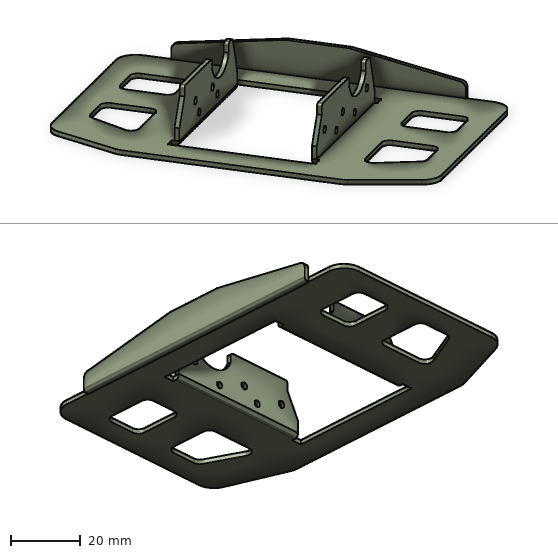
import cadquery as cq
import math

sheet = 1.5
bend_inner_radius = 0.3
outer_edge_radius = 1.3
bend_reach = bend_inner_radius + sheet

plate_width = 119.0
total_depth = 74.3
plate_depth = total_depth - sheet
plate_corner_radius = 6.0
front_edge_half = 34.4
front_slope = math.radians(20)

window_width = 45.0
window_front = 9.0
window_back = 63.8
relief_length = 3.4

opening_outer_x = 51.5
opening_inner_x = 34.5
opening_radius = 2.5
back_opening_front = 45.7
back_opening_back = 58.9
front_opening_back = 34.0
front_opening_outer_y = 21.9
front_opening_slope = math.radians(25)

back_wall_half = 45.0
back_wall_height = 12.0
back_wall_flat_half = 9.7
back_wall_end_height = 6.1
back_wall_corner_radius = 2.0

bracket_height = 17.0
bracket_gap = 40.4
bracket_front = window_front + relief_length
bracket_back = window_back - relief_length
bracket_end_height = 5.5
bracket_top_front = 16.6
bracket_step_height = 13.7
bracket_top_back = 56.5
bracket_corner_radius = 1.0
cradle_y = 46.4
cradle_half_width = 6.85
cradle_radius = 7.3
cradle_bottom = 9.0

shared_hole_diameter = 2.1
side_hole_diameter = 2.18
shared_holes = [(44.0, 4.5), (28.8, 4.5)]
left_holes = [(40.0, 8.1), (25.7, 9.1)]
right_holes = [(54.1, 8.3), (34.05, 8.3), (19.05, 8.3)]

back_bend_y = plate_depth - bend_inner_radius


def box_between(x0, x1, y0, y1):
    """Block of sheet thickness standing on Z = 0."""
    return cq.Workplane("XY").box(x1 - x0, y1 - y0, sheet, centered=False).translate((x0, y0, 0))


def prism(points):
    """Flat sheet on Z = 0 with an (x, y) outline."""
    return cq.Workplane("XY").polyline(points).close().extrude(sheet)


def back_opening():
    block = box_between(-opening_outer_x, -opening_inner_x, back_opening_front, back_opening_back)
    return block.edges("|Z").fillet(opening_radius)


def front_opening():
    width = opening_outer_x - opening_inner_x
    inner_y = front_opening_outer_y - width * math.tan(front_opening_slope)
    points = [
        (-opening_outer_x, front_opening_back),
        (-opening_inner_x, front_opening_back),
        (-opening_inner_x, inner_y),
        (-opening_outer_x, front_opening_outer_y),
    ]
    return prism(points).edges("|Z").fillet(opening_radius)


def make_plate():
    half = plate_width / 2
    side_front_y = (half - front_edge_half) * math.tan(front_slope)
    outline = [
        (-front_edge_half, 0),
        (front_edge_half, 0),
        (half, side_front_y),
        (half, plate_depth),
        (-half, plate_depth),
        (-half, side_front_y),
    ]
    plate = prism(outline).edges("|Z").fillet(plate_corner_radius)

    gap_half = bracket_gap / 2
    plate = plate.cut(box_between(-gap_half, gap_half, window_front, window_back))
    window_half = window_width / 2
    plate = plate.cut(box_between(-window_half, window_half, window_front, bracket_front))
    plate = plate.cut(box_between(-window_half, window_half, bracket_back, window_back))

    below_brackets = cq.selectors.BoxSelector(
        (-gap_half - sheet, bracket_front, -sheet / 2),
        (gap_half + sheet, bracket_back, sheet / 2),
    )
    plate = plate.edges("|Y").edges(below_brackets).fillet(outer_edge_radius)

    plate = plate.cut(box_between(-back_wall_half, back_wall_half, back_bend_y, plate_depth))

    for opening in (back_opening(), front_opening()):
        plate = plate.cut(opening).cut(opening.mirror("YZ"))
    return plate


def back_wall_bend():
    """Bend along the foot of the back wall, between the plate edge and the upright sheet."""
    length = 2 * back_wall_half
    corner = cq.Workplane("XY").box(length, bend_reach, bend_reach, centered=(True, False, False))
    corner = corner.edges(">Y and <Z").fillet(outer_edge_radius)
    hollow = (
        cq.Workplane("YZ")
        .center(0, bend_reach)
        .circle(bend_inner_radius)
        .extrude(back_wall_half, both=True)
    )
    return corner.cut(hollow).translate((0, back_bend_y, 0))


def make_back_wall():
    half = back_wall_half
    outline = [
        (-half, bend_reach),
        (half, bend_reach),
        (half, back_wall_end_height),
        (back_wall_flat_half, back_wall_height),
        (-back_wall_flat_half, back_wall_height),
        (-half, back_wall_end_height),
    ]
    upright = cq.Workplane("XZ", origin=(0, total_depth, 0)).polyline(outline).close().extrude(sheet)
    above_bend = cq.selectors.BoxSelector(
        (-plate_width, 0, sheet + bend_reach),
        (plate_width, 2 * total_depth, 2 * back_wall_height),
    )
    upright = upright.edges("|Y").edges(above_bend).fillet(back_wall_corner_radius)
    return upright.union(back_wall_bend())


def hole_cutters(places, diameter):
    """Cutters for round holes through a bracket, at (y, z) places."""
    return cq.Workplane("YZ").pushPoints(places).circle(diameter / 2).extrude(sheet)


def make_bracket(side_holes):
    """Bracket at the left side of the window, with its own set of side holes."""
    outline = [
        (bracket_front, sheet),
        (bracket_back, sheet),
        (bracket_back, bracket_end_height),
        (bracket_top_back, bracket_height),
        (bracket_top_front, bracket_height),
        (bracket_top_front, bracket_step_height),
        (bracket_front, bracket_end_height),
    ]
    upright = cq.Workplane("YZ").polyline(outline).close().extrude(sheet)

    center_z = cradle_bottom + cradle_radius
    shoulder_z = center_z - math.sqrt(cradle_radius**2 - cradle_half_width**2)
    cradle = (
        cq.Workplane("YZ")
        .moveTo(cradle_y - cradle_half_width, bracket_height)
        .lineTo(cradle_y - cradle_half_width, shoulder_z)
        .threePointArc((cradle_y, cradle_bottom), (cradle_y + cradle_half_width, shoulder_z))
        .lineTo(cradle_y + cradle_half_width, bracket_height)
        .close()
        .extrude(sheet)
    )
    upright = upright.cut(cradle)
    upright = upright.faces(">Z").edges("|X").fillet(bracket_corner_radius)

    upright = upright.cut(hole_cutters(shared_holes, shared_hole_diameter))
    upright = upright.cut(hole_cutters(side_holes, side_hole_diameter))
    return upright.translate((-bracket_gap / 2 - sheet, 0, 0))


plate = make_plate()
back_wall = make_back_wall()
left_bracket = make_bracket(left_holes)
right_bracket = make_bracket(right_holes).mirror("YZ")

result = cq.Compound.makeCompound(
    [plate.val(), back_wall.val(), left_bracket.val(), right_bracket.val()]
)